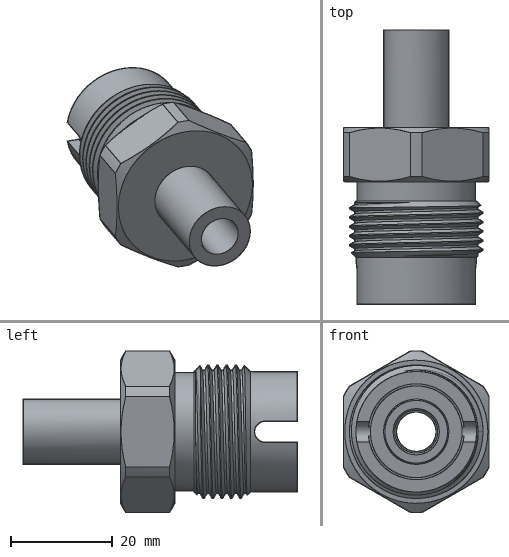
import cadquery as cq
import math


thread_start = 9.25
thread_end = 20.27
hex_start = 24.05
hex_thickness = 10.7
hex_end = hex_start + hex_thickness
total_length = 53.85

sleeve_diameter = 23.65
neck_diameter = 23.3
tail_diameter = 12.8

across_flats = 28.575
hex_corner_diameter = 31.75
hex_face_diameter = 28.1
hex_chamfer_angle = 30.0

thread_major_diameter = 26.2
thread_depth = 1.0
inch = 25.4
threads_per_inch = 14
thread_pitch = inch / threads_per_inch
thread_flank_angle = 30.0
crest_flat = thread_pitch / 8
groove_start = 8.0
groove_turns = 8
groove_overshoot = 0.1

mouth_diameter = 18.8
mouth_depth = 8.2
socket_diameter = 18.0
socket_depth = 18.0
nose_length = 1.0
nose_chamfer = 0.25
entry_diameter = 8.4
entry_depth = 1.0
entry_chamfer = 0.33
through_diameter = 7.7

slot_width = 4.1
slot_depth = 8.4


def cylinder(diameter, start, end):
    """Solid cylinder on the Y axis between two axial positions."""
    return cq.Workplane("XZ", origin=(0, start, 0)).circle(diameter / 2).extrude(start - end)


def turned(points):
    """Solid of revolution about the Y axis from (radius, position) points."""
    return cq.Workplane("XY").polyline(points).close().revolve(360, (0, 0), (0, 1))


def hexagon():
    """Hexagon with flats on +/-X, rounded corners and chamfered ends."""
    flat_to_corner_angle = 30
    corner_circle = across_flats / math.cos(math.radians(flat_to_corner_angle))
    prism = (
        cq.Workplane("XZ", origin=(0, hex_start, 0))
        .polygon(6, corner_circle)
        .extrude(-hex_thickness)
        .rotate((0, 0, 0), (0, 1, 0), flat_to_corner_angle)
    )
    face_radius = hex_face_diameter / 2
    corner_radius = hex_corner_diameter / 2
    chamfer = (corner_radius - face_radius) * math.tan(math.radians(hex_chamfer_angle))
    envelope = turned([
        (0, hex_start),
        (face_radius, hex_start),
        (corner_radius, hex_start + chamfer),
        (corner_radius, hex_end - chamfer),
        (face_radius, hex_end),
        (0, hex_end),
    ])
    return prism.intersect(envelope)


def groove_turn():
    """One right-handed turn of the helical V-groove."""
    major_radius = thread_major_diameter / 2
    root_radius = major_radius - thread_depth
    slope = math.tan(math.radians(thread_flank_angle))
    half_width = (thread_pitch - crest_flat) / 2
    root_half_width = half_width - thread_depth * slope
    outer_half_width = half_width + groove_overshoot * slope
    outer_radius = major_radius + groove_overshoot
    helix = cq.Wire.makeHelix(thread_pitch, thread_pitch, root_radius)
    groove = (
        cq.Workplane("XZ")
        .polyline([
            (root_radius, -root_half_width),
            (outer_radius, -outer_half_width),
            (outer_radius, outer_half_width),
            (root_radius, root_half_width),
        ])
        .close()
        .sweep(cq.Workplane(helix), isFrenet=True)
    )
    return groove.rotate((0, 0, 0), (1, 0, 0), -90).translate((0, groove_start, 0))


def threaded_collar():
    """Externally threaded collar with 45 degree lead-in at both ends."""
    lead_in = (thread_major_diameter - sleeve_diameter) / 2
    blank = cylinder(thread_major_diameter, thread_start, thread_end)
    collar = blank.edges("%CIRCLE").chamfer(lead_in)
    turn = groove_turn()
    for index in range(groove_turns):
        collar = collar.cut(turn.translate((0, index * thread_pitch, 0)), clean=False)
    return collar


def bore():
    """Stepped bore around a chamfered nose, which has its own stepped through hole."""
    nose_radius = tail_diameter / 2
    nose_tip = socket_depth - nose_length
    entry_radius = entry_diameter / 2
    through_radius = through_diameter / 2
    return turned([
        (0, 0),
        (mouth_diameter / 2, 0),
        (mouth_diameter / 2, mouth_depth),
        (socket_diameter / 2, mouth_depth),
        (socket_diameter / 2, socket_depth),
        (nose_radius, socket_depth),
        (nose_radius, nose_tip + nose_chamfer),
        (nose_radius - nose_chamfer, nose_tip),
        (entry_radius + entry_chamfer, nose_tip),
        (entry_radius, nose_tip + entry_chamfer),
        (entry_radius, nose_tip + entry_depth),
        (through_radius, nose_tip + entry_depth),
        (through_radius, total_length),
        (0, total_length),
    ])


def cross_slot():
    """Round-ended slot through both walls of the open end, along X."""
    half_width = slot_width / 2
    straight = slot_depth - half_width
    return (
        cq.Workplane("YZ")
        .moveTo(0, -half_width)
        .lineTo(straight, -half_width)
        .threePointArc((slot_depth, 0), (straight, half_width))
        .lineTo(0, half_width)
        .close()
        .extrude(sleeve_diameter, both=True)
    )


sleeve = cylinder(sleeve_diameter, 0, thread_end)
neck = cylinder(neck_diameter, thread_end, hex_start)
tail = cylinder(tail_diameter, hex_end, total_length)

body = sleeve.union(neck).union(hexagon()).union(tail).union(threaded_collar())
result = body.cut(bore()).cut(cross_slot())